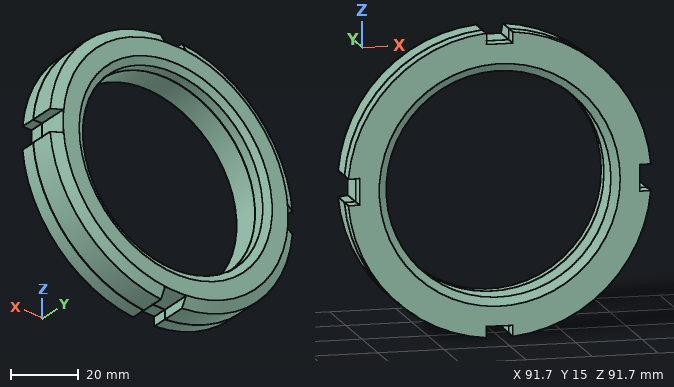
import cadquery as cq
import math

width_across_slot_corners = 91.65
bore_radius = 34.0
nut_width = 15.0

slot_count = 4
slot_width = 8.0
slot_floor_distance = 42.4

outside_radius = math.hypot(width_across_slot_corners / 2, slot_width / 2)

front_rim_width = 4.95
spigot_length = 5.0
spigot_radius = 38.5
joint_gap = 0.14

bore_mouth_radius = 36.5
bore_chamfer_depth = 1.4
rear_face_radius = 42.5
rim_chamfer_depth = 2.0

front_y = -nut_width / 2
shoulder_y = front_y + front_rim_width
spigot_end_y = shoulder_y + spigot_length
rear_y = nut_width / 2


def revolve_about_y(profile_points):
    """Solid of revolution from (radius, y) points."""
    profile = cq.Workplane("XY").polyline(profile_points).close()
    return profile.revolve(360, (0, 0, 0), (0, 1, 0))


def cut_spanner_slots(ring):
    """Cut evenly spaced flat-floored slots along the full width of a ring."""
    slot = cq.Workplane("XY").box(
        outside_radius, 2 * nut_width, slot_width, centered=(False, True, True)
    ).translate((slot_floor_distance, 0, 0))
    for index in range(slot_count):
        angle = index * 360 / slot_count
        ring = ring.cut(slot.rotate((0, 0, 0), (0, 1, 0), angle))
    return ring


def make_front_ring():
    """Front ring: plain rim, bore chamfered at the front face, spigot at the back."""
    ring = revolve_about_y([
        (bore_mouth_radius, front_y),
        (outside_radius, front_y),
        (outside_radius, shoulder_y),
        (spigot_radius, shoulder_y),
        (spigot_radius, spigot_end_y),
        (bore_radius, spigot_end_y),
        (bore_radius, front_y + bore_chamfer_depth),
    ])
    return cut_spanner_slots(ring)


def make_rear_ring():
    """Rear ring: socket for the spigot, rim and bore both chamfered at the rear face."""
    ring = revolve_about_y([
        (bore_radius, spigot_end_y + joint_gap),
        (spigot_radius, spigot_end_y + joint_gap),
        (spigot_radius, shoulder_y + joint_gap),
        (outside_radius, shoulder_y + joint_gap),
        (outside_radius, rear_y - rim_chamfer_depth),
        (rear_face_radius, rear_y),
        (bore_mouth_radius, rear_y),
        (bore_radius, rear_y - bore_chamfer_depth),
    ])
    return cut_spanner_slots(ring)


front_ring = make_front_ring()
rear_ring = make_rear_ring()

result = cq.Compound.makeCompound([front_ring.val(), rear_ring.val()])